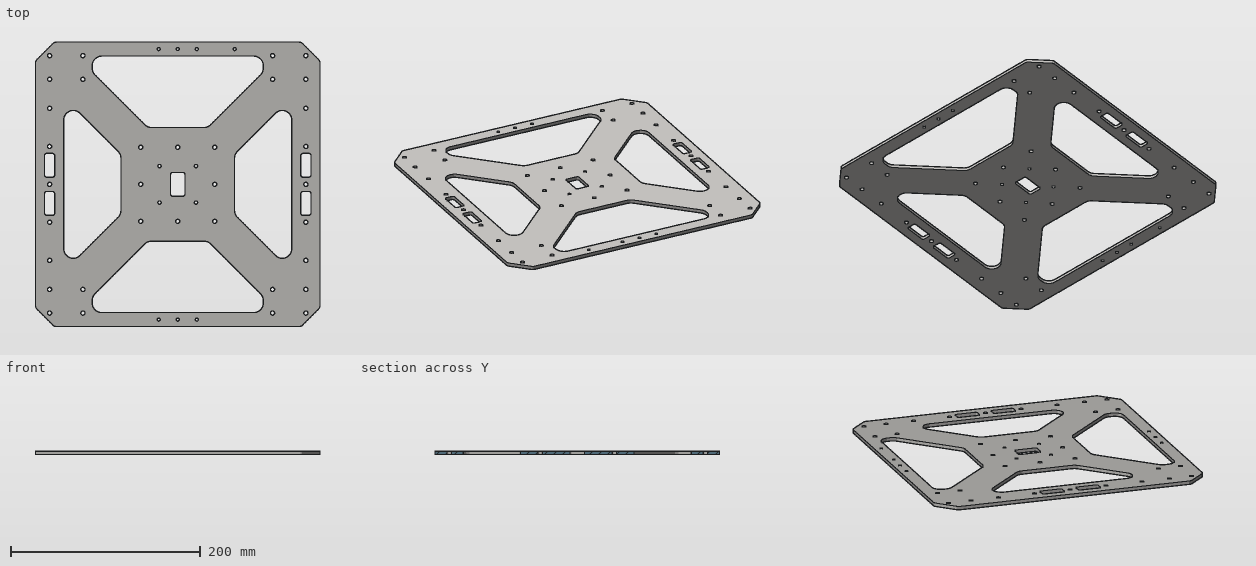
import cadquery as cq
import math

side = 300.0
thickness = 4.0
corner_cut = 20.0
corner_radius = 5.0

mount_dia = 4.2
inner_square_dia = 3.3
rail_dia = 3.0
edge_column_x = 135.0
inner_column_x = 100.0
corner_rows_y = (135.5, 110.7)
edge_rows_y = (80.0, 40.0, 0.0, -40.0, -80.0)
rail_row_y = 142.5
rail_pitch = 20.0
extra_rail_hole_x = 60.0
hub_pitch = 39.0
inner_square_half = 19.2

slot_length = 25.0
side_slot_width = 10.5
side_slot_y = 20.0
hub_slot_width = 15.0
slot_corner_radius = 2.0

arm_width = 40.0
hub_half = 60.0
window_radius = 10.0
end_window_outer_y = 135.0
end_window_half_width = 90.0
side_window_outer_x = 120.0

arm_offset = arm_width / math.sqrt(2)
window_inner_half_width = hub_half - arm_offset


def through_cutter(sketch):
    """Extrude a closed outline through the whole plate."""
    return sketch.extrude(thickness)


def holes(points, diameter):
    """Round through holes at the given points."""
    return through_cutter(cq.Workplane("XY").pushPoints(points).circle(diameter / 2))


def rounded_slot(x, y, width):
    """Upright rectangular slot with rounded corners."""
    slot = through_cutter(cq.Workplane("XY").center(x, y).rect(width, slot_length))
    return slot.edges("|Z").fillet(slot_corner_radius)


def window_from(outline):
    """Window with every corner rounded alike."""
    window = through_cutter(cq.Workplane("XY").polyline(outline).close())
    return window.edges("|Z").fillet(window_radius)


def end_window():
    """Window beside the +Y edge: a trapezoid with short upright shoulders."""
    shoulder_y = end_window_half_width + arm_offset
    return window_from([
        (-end_window_half_width, end_window_outer_y),
        (-end_window_half_width, shoulder_y),
        (-window_inner_half_width, hub_half),
        (window_inner_half_width, hub_half),
        (end_window_half_width, shoulder_y),
        (end_window_half_width, end_window_outer_y),
    ])


def side_window():
    """Window beside the +X edge: a plain trapezoid."""
    outer_half_width = side_window_outer_x - arm_offset
    return window_from([
        (side_window_outer_x, outer_half_width),
        (hub_half, window_inner_half_width),
        (hub_half, -window_inner_half_width),
        (side_window_outer_x, -outer_half_width),
    ])


signs = (-1, 1)
steps = (-1, 0, 1)

plate = cq.Workplane("XY").rect(side, side).extrude(thickness)
plate = plate.edges("|Z").chamfer(corner_cut)
plate = plate.edges("|Z").fillet(corner_radius)

for window in (end_window(), side_window()):
    plate = plate.cut(window)
    plate = plate.cut(window.rotate((0, 0, 0), (0, 0, 1), 180))

for sx in signs:
    for sy in signs:
        plate = plate.cut(rounded_slot(sx * edge_column_x, sy * side_slot_y, side_slot_width))
plate = plate.cut(rounded_slot(0, 0, hub_slot_width))

corner_points = [
    (sx * x, sy * y)
    for sx in signs
    for sy in signs
    for x in (edge_column_x, inner_column_x)
    for y in corner_rows_y
]
edge_points = [(sx * edge_column_x, y) for sx in signs for y in edge_rows_y]
plate = plate.cut(holes(corner_points + edge_points, mount_dia))

rail_points = [(i * rail_pitch, sy * rail_row_y) for i in steps for sy in signs]
rail_points.append((extra_rail_hole_x, rail_row_y))
plate = plate.cut(holes(rail_points, rail_dia))

hub_points = [(i * hub_pitch, j * hub_pitch) for i in steps for j in steps if (i, j) != (0, 0)]
plate = plate.cut(holes(hub_points, mount_dia))

inner_square_points = [(sx * inner_square_half, sy * inner_square_half) for sx in signs for sy in signs]
plate = plate.cut(holes(inner_square_points, inner_square_dia))

result = plate